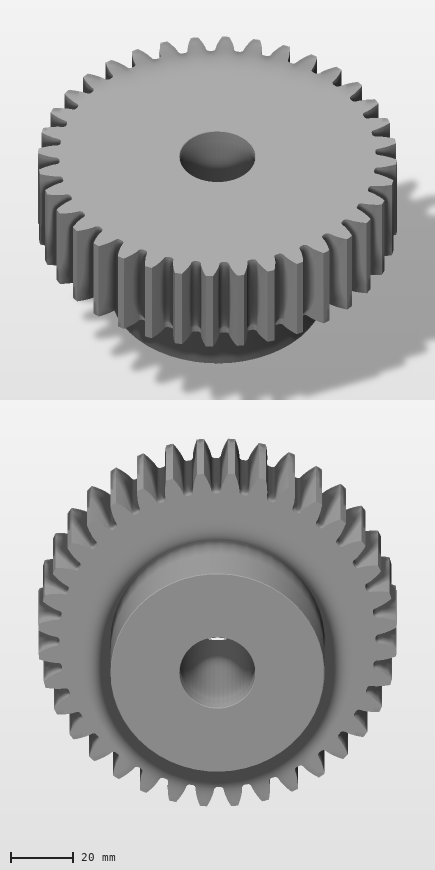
import cadquery as cq
import math

MODULE = 3.0
TOOTH_COUNT = 36
PRESSURE_ANGLE = math.radians(20)
DEDENDUM_FACTOR = 1.25
ROOT_FILLET_FACTOR = 0.38
FLANK_POINTS = 6

GEAR_WIDTH = 30.0
TOTAL_HEIGHT = 58.0
HUB_DIAMETER = 68.0
BORE_DIAMETER = 24.0
HUB_CHAMFER = 0.2
HUB_FILLET = 0.2
BORE_CHAMFER = 0.2

PITCH_RADIUS = MODULE * TOOTH_COUNT / 2
TIP_RADIUS = PITCH_RADIUS + MODULE
ROOT_FILLET = ROOT_FILLET_FACTOR * MODULE
ROOT_RADIUS = PITCH_RADIUS - DEDENDUM_FACTOR * MODULE
BASE_RADIUS = PITCH_RADIUS * math.cos(PRESSURE_ANGLE)
TOOTH_PITCH = 2 * math.pi / TOOTH_COUNT
HUB_LENGTH = TOTAL_HEIGHT - GEAR_WIDTH

BASE_HALF_ANGLE = TOOTH_PITCH / 4 + math.tan(PRESSURE_ANGLE) - PRESSURE_ANGLE


def polar(radius, angle):
    return (radius * math.cos(angle), radius * math.sin(angle))


def roll_at(radius):
    """Roll angle at which the involute reaches a radius."""
    return math.sqrt((radius / BASE_RADIUS) ** 2 - 1)


def involute(roll):
    """Radius and angle of a flank point, with the angle measured from the start of the involute."""
    return BASE_RADIUS * math.hypot(1, roll), roll - math.atan(roll)


FILLET_CENTRE_RADIUS = ROOT_RADIUS + ROOT_FILLET
FILLET_CENTRE_ROLL = roll_at(FILLET_CENTRE_RADIUS)
FLANK_START_ROLL = FILLET_CENTRE_ROLL - ROOT_FILLET / BASE_RADIUS
FLANK_END_ROLL = roll_at(TIP_RADIUS)

FILLET_CENTRE_ANGLE = FLANK_START_ROLL - math.atan(FILLET_CENTRE_ROLL)


def fillet_middle():
    """Radius and angle of the point halfway along the root fillet."""
    centre_x, centre_y = polar(FILLET_CENTRE_RADIUS, FILLET_CENTRE_ANGLE)
    flank_x, flank_y = polar(*involute(FLANK_START_ROLL))
    direction_to_root = FILLET_CENTRE_ANGLE + math.pi
    direction_to_flank = math.atan2(flank_y - centre_y, flank_x - centre_x) % (2 * math.pi)
    direction = (direction_to_root + direction_to_flank) / 2
    x = centre_x + ROOT_FILLET * math.cos(direction)
    y = centre_y + ROOT_FILLET * math.sin(direction)
    return math.hypot(x, y), math.atan2(y, x)


def add_tooth(outline, tooth_angle):
    """Extend the outline counterclockwise over one tooth and the root land after it."""
    roll_step = (FLANK_END_ROLL - FLANK_START_ROLL) / (FLANK_POINTS - 1)
    flank = [involute(FLANK_START_ROLL + i * roll_step) for i in range(FLANK_POINTS)]
    middle_radius, middle_angle = fillet_middle()

    def rising(radius, angle):
        return polar(radius, tooth_angle - BASE_HALF_ANGLE + angle)

    def falling(radius, angle):
        return polar(radius, tooth_angle + BASE_HALF_ANGLE - angle)

    rising_flank = [rising(*point) for point in flank]
    falling_flank = [falling(*point) for point in reversed(flank)]
    next_root_angle = tooth_angle + TOOTH_PITCH - BASE_HALF_ANGLE + FILLET_CENTRE_ANGLE

    outline = outline.threePointArc(rising(middle_radius, middle_angle), rising_flank[0])
    outline = outline.spline(rising_flank[1:], includeCurrent=True)
    outline = outline.threePointArc(polar(TIP_RADIUS, tooth_angle), falling_flank[0])
    outline = outline.spline(falling_flank[1:], includeCurrent=True)
    outline = outline.threePointArc(
        falling(middle_radius, middle_angle), falling(ROOT_RADIUS, FILLET_CENTRE_ANGLE)
    )
    return outline.threePointArc(
        polar(ROOT_RADIUS, tooth_angle + TOOTH_PITCH / 2), polar(ROOT_RADIUS, next_root_angle)
    )


def make_toothed_rim():
    """Spur gear with a tooth space centred on each axis."""
    first_tooth = TOOTH_PITCH / 2
    start_angle = first_tooth - BASE_HALF_ANGLE + FILLET_CENTRE_ANGLE
    outline = cq.Workplane("XY").workplane(offset=HUB_LENGTH)
    outline = outline.moveTo(*polar(ROOT_RADIUS, start_angle))
    for i in range(TOOTH_COUNT):
        outline = add_tooth(outline, first_tooth + i * TOOTH_PITCH)
    return outline.close().extrude(GEAR_WIDTH)


def make_hub():
    """Hub below the gear, chamfered at its free end and filleted where it meets the gear."""
    radius = HUB_DIAMETER / 2
    fillet_middle_offset = HUB_FILLET * (1 - math.sqrt(0.5))
    profile = (
        cq.Workplane("XZ")
        .lineTo(radius - HUB_CHAMFER, 0)
        .lineTo(radius, HUB_CHAMFER)
        .lineTo(radius, HUB_LENGTH - HUB_FILLET)
        .threePointArc(
            (radius + fillet_middle_offset, HUB_LENGTH - fillet_middle_offset),
            (radius + HUB_FILLET, HUB_LENGTH),
        )
        .lineTo(0, HUB_LENGTH)
        .close()
    )
    return profile.revolve(360, (0, 0, 0), (0, 1, 0))


def make_bore():
    """Through bore with a chamfer at each end."""
    radius = BORE_DIAMETER / 2
    profile = (
        cq.Workplane("XZ")
        .lineTo(radius + BORE_CHAMFER, 0)
        .lineTo(radius, BORE_CHAMFER)
        .lineTo(radius, TOTAL_HEIGHT - BORE_CHAMFER)
        .lineTo(radius + BORE_CHAMFER, TOTAL_HEIGHT)
        .lineTo(0, TOTAL_HEIGHT)
        .close()
    )
    return profile.revolve(360, (0, 0, 0), (0, 1, 0))


result = make_toothed_rim().union(make_hub()).cut(make_bore())